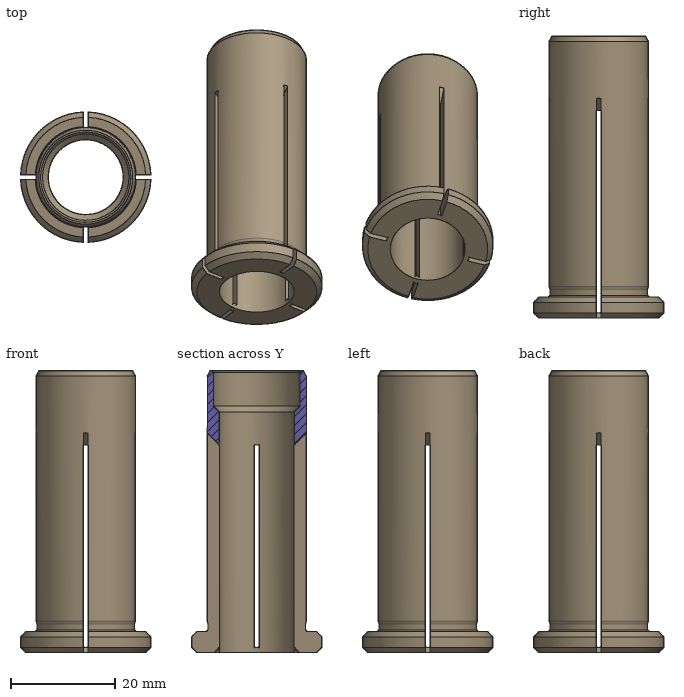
import cadquery as cq

length = 54.0
flange_radius = 25.0 / 2
tube_radius = 19.05 / 2
bore_radius = 14.3 / 2
counterbore_radius = 16.5 / 2

flange_height = 4.05
flange_chamfer = 1.0

neck_depth = 0.15
neck_radius = tube_radius - neck_depth
neck_flare = 0.3
neck_taper_start = 5.5
neck_taper_end = 6.05

lead_in_width = 0.55
lead_in_height = 1.0
rim_bevel = 0.4
counterbore_depth = 6.8

slot_count = 4
slot_width = 0.85
slot_inner_bottom = 1.0
slot_inner_top = 39.75
slot_overrun = 1.1


def make_sleeve():
    """Revolve the half section of the flanged sleeve about Z."""
    seat_height = length - counterbore_depth
    seat_drop = counterbore_radius - bore_radius
    section = [
        (bore_radius, 0),
        (flange_radius - flange_chamfer, 0),
        (flange_radius, flange_chamfer),
        (flange_radius, flange_height - flange_chamfer),
        (flange_radius - flange_chamfer, flange_height),
        (neck_radius + neck_flare, flange_height),
        (neck_radius, flange_height + neck_flare),
        (neck_radius, neck_taper_start),
        (tube_radius, neck_taper_end),
        (tube_radius, length - lead_in_height),
        (tube_radius - lead_in_width, length),
        (counterbore_radius + rim_bevel, length),
        (counterbore_radius, length - rim_bevel),
        (counterbore_radius, seat_height),
        (bore_radius, seat_height - seat_drop),
    ]
    return cq.Workplane("XZ").polyline(section).close().revolve(360, (0, 0), (0, 1))


def make_slot_cutter():
    """Slot toward +X; both ends open outward at 45 degrees from the bore."""
    inner = bore_radius - slot_overrun
    outer = flange_radius + slot_overrun
    reach = outer - bore_radius
    profile = [
        (inner, slot_inner_bottom + slot_overrun),
        (outer, slot_inner_bottom - reach),
        (outer, slot_inner_top + reach),
        (inner, slot_inner_top - slot_overrun),
    ]
    return cq.Workplane("XZ").polyline(profile).close().extrude(slot_width / 2, both=True)


result = make_sleeve()
slot_cutter = make_slot_cutter()
for index in range(slot_count):
    angle = index * 360 / slot_count
    result = result.cut(slot_cutter.rotate((0, 0, 0), (0, 0, 1), angle))